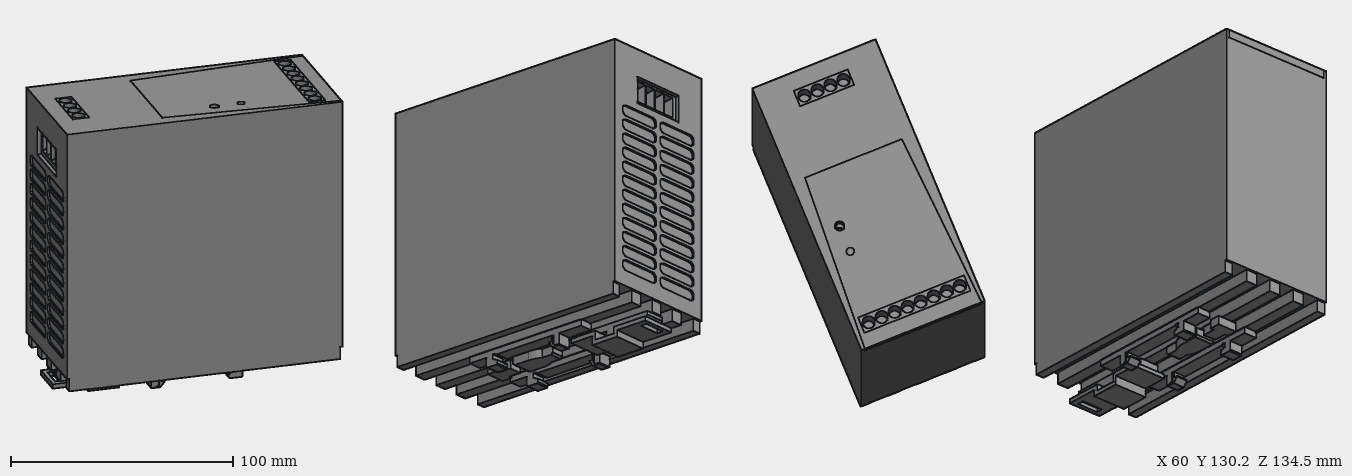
import cadquery as cq
import math


width = 60.0
depth = 130.2
top_z = 134.5
block_bottom_z = 15.7
skirt_bottom_z = 9.8
skirt_setback = 1.1
skirt_width = 4.5
rib_width = 6.0

slot_length = 23.4
slot_height = 5.2
slot_gap = 2.5
slot_depth = 1.0
slot_rows = 12
slot_top_z = 101.8
slot_low_z = 26.0

terminal_pitch = 6.3
terminal_end_margin = 3.6
terminal_depth = 7.7
screw_hole_diameter = 5.6
screw_hole_depth = 10.8
front_terminal_count = 4
front_terminal_y = 12.0
rear_terminal_count = 8
rear_terminal_y = 119.6
rear_terminal_height = 13.5

window_width = 28.6
window_low_z = 108.0
window_top_z = 121.0
window_depth = 2.0
funnel_mouth_width = 5.8
funnel_mouth_low_z = 110.2
funnel_mouth_top_z = 120.0
funnel_end_width = 3.5
funnel_end_low_z = 114.5
funnel_end_top_z = 118.1
funnel_depth = 6.7

label_front_y = 47.1
label_front_width = 47.1
label_rear_width = 56.8
label_thickness = 4.0

indicator_x = 17.5
lamp_y = 86.2
lamp_diameter = 3.5
lamp_length = 4.0
trimmer_y = 73.6
trimmer_diameter = 4.3
trimmer_recess = 4.7
trimmer_length = 4.0
trimmer_slot_width = 0.4
trimmer_slot_depth = 0.7
trimmer_slot_angle = -30

rail_x = 14.0
rail_width = 7.0
rail_bottom_z = 6.6
rail_front_y = 30.8
rail_rear_y = 96.7
barb_width = 6.0
hook_front_y = 43.8

foot_width = 10.2
tab_top_z = 5.4
foot_step_y = 26.5
pad_width = 10.2
pad_narrow_width = 6.7
pad_bottom_z = tab_top_z
rear_pad_front_y = 84.7
rear_pad_step_y = 91.3
middle_pad_rear_y = 81.8
middle_pad_front_y = 59.7
middle_pad_bevel = 1.0
pad_curve_rear_y = 72.6
pad_curve_front_y = 65.9

latch_width = 17.9
sheet = 2.2
latch_rear_wall = 1.6
trough_rear_y = 31.3
trough_front_y = 16.7
latch_slot_width = 11.3
latch_slot_front_y = 2.2
latch_slot_rear_y = 5.4


def box(x_size, x_center, y_low, y_high, z_low, z_high):
    """Axis-aligned box centred on x_center."""
    size = (x_size, y_high - y_low, z_high - z_low)
    return cq.Workplane("XY").box(*size, centered=(True, False, False)).translate((x_center, y_low, z_low))


def side_profile(points, x_size, x_center):
    """Outline of (y, z) points extruded along X, centred on x_center."""
    return cq.Workplane("YZ", origin=(x_center - x_size / 2, 0, 0)).polyline(points).close().extrude(x_size)


def upright_cylinder(x, y, diameter, z_low, z_high):
    return cq.Workplane("XY", origin=(x, y, z_low)).circle(diameter / 2).extrude(z_high - z_low)


def terminal_positions(count):
    return [(i - (count - 1) / 2) * terminal_pitch for i in range(count)]


def terminal_top(count, y_center, height):
    """Terminal strip flush with the top, before its screw holes are made."""
    strip_width = (count - 1) * terminal_pitch + 2 * terminal_end_margin
    y_low = y_center - terminal_depth / 2
    return box(strip_width, 0, y_low, y_low + terminal_depth, top_z - height, top_z)


def screw_holes(count, y_center):
    points = [(x, y_center) for x in terminal_positions(count)]
    plane = cq.Workplane("XY", origin=(0, 0, top_z - screw_hole_depth))
    return plane.pushPoints(points).circle(screw_hole_diameter / 2).extrude(screw_hole_depth)


def front_terminal_envelope():
    """Strip at the top joined to the wider part that fills the window."""
    rear_y = front_terminal_y + terminal_depth / 2
    strip = terminal_top(front_terminal_count, front_terminal_y, top_z - window_low_z)
    return strip.union(box(window_width, 0, window_depth, rear_y, window_low_z, window_top_z))


def wire_funnel(x):
    """Rectangular opening that narrows inwards from the window."""
    mouth_height = funnel_mouth_top_z - funnel_mouth_low_z
    mouth_z = (funnel_mouth_top_z + funnel_mouth_low_z) / 2
    end_height = funnel_end_top_z - funnel_end_low_z
    end_z = (funnel_end_top_z + funnel_end_low_z) / 2
    return (
        cq.Workplane("XZ", origin=(x, window_depth, mouth_z))
        .rect(funnel_mouth_width, mouth_height)
        .workplane(offset=-funnel_depth)
        .center(0, end_z - mouth_z)
        .rect(funnel_end_width, end_height)
        .loft(ruled=True)
    )


def make_front_terminal():
    block = front_terminal_envelope().cut(screw_holes(front_terminal_count, front_terminal_y))
    for x in terminal_positions(front_terminal_count):
        block = block.cut(wire_funnel(x))
    return block


def rear_terminal_envelope():
    return terminal_top(rear_terminal_count, rear_terminal_y, rear_terminal_height)


def make_rear_terminal():
    return rear_terminal_envelope().cut(screw_holes(rear_terminal_count, rear_terminal_y))


def make_lamp():
    return upright_cylinder(indicator_x, lamp_y, lamp_diameter, top_z - lamp_length, top_z)


def trimmer_hole():
    bottom_z = top_z - trimmer_recess - trimmer_length
    return upright_cylinder(indicator_x, trimmer_y, trimmer_diameter, bottom_z, top_z)


def make_trimmer():
    head_z = top_z - trimmer_recess
    body = upright_cylinder(indicator_x, trimmer_y, trimmer_diameter, head_z - trimmer_length, head_z)
    slot = (
        cq.Workplane("XY")
        .box(2 * trimmer_diameter, trimmer_slot_width, 2 * trimmer_slot_depth)
        .rotate((0, 0, 0), (0, 0, 1), trimmer_slot_angle)
        .translate((indicator_x, trimmer_y, head_z))
    )
    return body.cut(slot)


def label_envelope():
    """Plate that widens towards the rear edge."""
    outline = [
        (-label_front_width / 2, label_front_y),
        (label_front_width / 2, label_front_y),
        (label_rear_width / 2, depth),
        (-label_rear_width / 2, depth),
    ]
    plane = cq.Workplane("XY", origin=(0, 0, top_z - label_thickness))
    return plane.polyline(outline).close().extrude(label_thickness)


def make_label():
    return label_envelope().cut(rear_terminal_envelope()).cut(make_lamp()).cut(trimmer_hole())


def ventilation_slots():
    slot_x = (slot_length + slot_gap) / 2
    row_pitch = (slot_top_z - slot_low_z) / (slot_rows - 1)
    points = [(side * slot_x, slot_low_z + row * row_pitch) for side in (-1, 1) for row in range(slot_rows)]
    return cq.Workplane("XZ").pushPoints(points).slot2D(slot_length, slot_height).extrude(-slot_depth)


def bottom_ribs():
    """Two edge skirts and three ribs along the underside."""
    skirt_x = (width - skirt_width) / 2
    strips = [(-skirt_x, skirt_width), (skirt_x, skirt_width)]
    strips += [(x, rib_width) for x in (-rail_x, 0, rail_x)]
    front_y = skirt_setback
    rear_y = depth - skirt_setback
    return [box(size, x, front_y, rear_y, skirt_bottom_z, block_bottom_z) for x, size in strips]


def mounting_rail(x):
    """Rail with a fixed hook at the rear and a barbed hook at the front."""
    rail_outline = [
        (rail_front_y, skirt_bottom_z),
        (rail_rear_y, skirt_bottom_z),
        (rail_rear_y, rail_bottom_z),
        (87.0, rail_bottom_z),
        (87.0, 2.2),
        (86.5, 1.6),
        (81.0, 1.6),
        (80.4, 2.2),
        (80.4, 3.8),
        (83.1, 5.0),
        (83.1, 7.3),
        (81.8, 7.3),
        (81.1, rail_bottom_z),
        (47.5, rail_bottom_z),
        (47.5, 2.4),
        (46.3, 1.3),
        (hook_front_y, 1.3),
        (hook_front_y, rail_bottom_z),
        (rail_front_y, rail_bottom_z),
    ]
    barb_outline = [
        (hook_front_y, rail_bottom_z),
        (48.5, rail_bottom_z),
        (48.5, 4.0),
        (50.3, 4.0),
        (50.3, 3.6),
        (48.2, 1.1),
        (44.3, 1.1),
        (hook_front_y, 1.3),
    ]
    return side_profile(rail_outline, rail_width, x).union(side_profile(barb_outline, barb_width, x))


def middle_foot():
    """Foot that guides the latch and bevels down to its tab."""
    outline = [
        (hook_front_y, skirt_bottom_z),
        (hook_front_y, rail_bottom_z),
        (foot_step_y, rail_bottom_z),
        (foot_step_y, 3.2),
        (trough_front_y + sheet, 3.2),
        (trough_front_y + sheet, tab_top_z),
        (4.5, tab_top_z),
        (2.0, 8.1),
        (2.0, skirt_bottom_z),
    ]
    return side_profile(outline, foot_width, 0)


def rear_pad():
    wide = box(pad_width, 0, rear_pad_step_y, rail_rear_y, pad_bottom_z, skirt_bottom_z)
    narrow = box(pad_narrow_width, 0, rear_pad_front_y, rear_pad_step_y, pad_bottom_z, skirt_bottom_z)
    return wide.union(narrow)


def middle_pad():
    """Bevelled pad whose sides curve in to a narrower front end."""
    outline = [
        (middle_pad_rear_y, skirt_bottom_z),
        (middle_pad_rear_y, pad_bottom_z + middle_pad_bevel),
        (middle_pad_rear_y - middle_pad_bevel, pad_bottom_z),
        (middle_pad_front_y + middle_pad_bevel, pad_bottom_z),
        (middle_pad_front_y, pad_bottom_z + middle_pad_bevel),
        (middle_pad_front_y, skirt_bottom_z),
    ]
    wide = pad_width / 2
    narrow = pad_narrow_width / 2
    curve_length = pad_curve_rear_y - pad_curve_front_y
    inset = wide - narrow
    radius = (curve_length**2 + inset**2) / (2 * inset)
    half_angle = math.asin(curve_length / radius) / 2
    arc_x = wide - radius * (1 - math.cos(half_angle))
    arc_y = pad_curve_rear_y - radius * math.sin(half_angle)
    plan = (
        cq.Workplane("XY", origin=(0, 0, pad_bottom_z))
        .moveTo(wide, middle_pad_rear_y)
        .lineTo(wide, pad_curve_rear_y)
        .threePointArc((arc_x, arc_y), (narrow, pad_curve_front_y))
        .lineTo(narrow, middle_pad_front_y)
        .lineTo(-narrow, middle_pad_front_y)
        .lineTo(-narrow, pad_curve_front_y)
        .threePointArc((-arc_x, arc_y), (-wide, pad_curve_rear_y))
        .lineTo(-wide, middle_pad_rear_y)
        .close()
        .extrude(skirt_bottom_z - pad_bottom_z)
    )
    return plan.intersect(side_profile(outline, pad_width, 0))


def make_housing():
    body = box(width, 0, 0, depth, block_bottom_z, top_z)
    body = body.cut(ventilation_slots())
    body = body.cut(box(window_width, 0, 0, window_depth, window_low_z, window_top_z))
    inserts = [front_terminal_envelope(), rear_terminal_envelope(), label_envelope(), make_lamp(), trimmer_hole()]
    for insert in inserts:
        body = body.cut(insert)
    underside = bottom_ribs()
    underside += [mounting_rail(-rail_x), mounting_rail(rail_x)]
    underside += [middle_foot(), rear_pad(), middle_pad()]
    for feature in underside:
        body = body.union(feature)
    return body


def make_latch():
    """Bent sheet with a trough and a slotted pull tab."""
    outline = [
        (0, tab_top_z),
        (trough_front_y + sheet, tab_top_z),
        (trough_front_y + sheet, sheet),
        (trough_rear_y - latch_rear_wall, sheet),
        (trough_rear_y - latch_rear_wall, rail_bottom_z),
        (hook_front_y, rail_bottom_z),
        (hook_front_y, rail_bottom_z - sheet),
        (trough_rear_y, rail_bottom_z - sheet),
        (trough_rear_y, 0),
        (trough_front_y, 0),
        (trough_front_y, tab_top_z - sheet),
        (0, tab_top_z - sheet),
    ]
    slot = box(latch_slot_width, 0, latch_slot_front_y, latch_slot_rear_y, tab_top_z - sheet, tab_top_z)
    return side_profile(outline, latch_width, 0).cut(slot)


housing = make_housing()
label = make_label()
front_terminal = make_front_terminal()
rear_terminal = make_rear_terminal()
lamp = make_lamp()
trimmer = make_trimmer()
latch = make_latch()

result = cq.Compound.makeCompound(
    [
        housing.val(),
        label.val(),
        front_terminal.val(),
        rear_terminal.val(),
        lamp.val(),
        trimmer.val(),
        latch.val(),
    ]
)